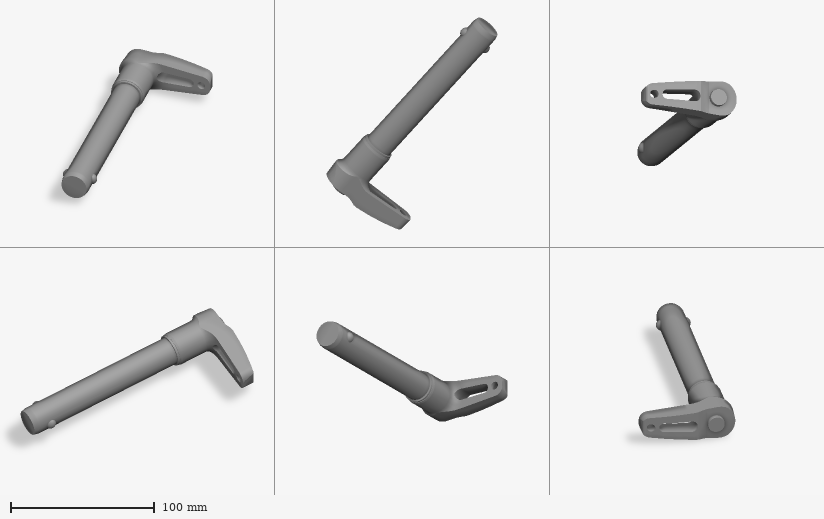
import cadquery as cq
import math

total_length = 160.1

shank_diameter = 20.0
shank_radius = shank_diameter / 2
tip_radius = 9.1
tip_length = 4.2
tip_bulge = 0.2
step_start = 116.9
step_radius = 11.4
neck_start = 118.5
neck_radius = 11.7
collar_start = 120.2
collar_end = 140.1
collar_radius = 12.0
flare_radius = 6.0

ball_radius = 3.8
ball_reach = 12.3
ball_position = 13.5

button_radius = 6.0
button_chamfer = 0.6

head_radius = 12.3
head_offset = -2.5
handle_end = 52.2
end_half_width = 7.2
end_corner_radius = 6.2

head_top = 157.0
flare_top = collar_end + flare_radius
end_bottom = 144.5
rise_start = 6.4
rise_middle = (9.6, 158.0)
hump_start = (12.8, 159.3)
hump_end = (15.7, 159.5)
crown_middle = (32.8, 157.7)
crown_end = (49.0, 154.3)
end_top = (51.0, 153.0)
end_rounding_middle = (50.6, 153.9)

back_radius = 13.5
back_top_shift = 1.0

slot_start = 13.3
slot_end = 40.0
slot_start_radius = 4.2
slot_end_radius = 3.4
hole_position = 45.6
hole_radius = 2.9

head_back = head_offset - head_radius


def along_pin(sketch_plane_offset):
    """Sketch plane square to the pin, with local axes X and Z and its normal along -Y."""
    return cq.Workplane("XZ", origin=(0, sketch_plane_offset, 0))


def tapered_outline(plane, start, start_radius, end, end_radius, height):
    """Solid bounded by two arcs and their common tangent lines, from start to end in X."""
    lean = math.asin((start_radius - end_radius) / (end - start))
    touch_x = math.sin(lean)
    touch_z = math.cos(lean)
    start_touch = (start + start_radius * touch_x, start_radius * touch_z)
    end_touch = (end + end_radius * touch_x, end_radius * touch_z)
    return (
        plane.moveTo(*start_touch)
        .lineTo(*end_touch)
        .threePointArc((end + end_radius, 0), (end_touch[0], -end_touch[1]))
        .lineTo(start_touch[0], -start_touch[1])
        .threePointArc((start - start_radius, 0), start_touch)
        .close()
        .extrude(height)
    )


def make_pin():
    """Shank, stepped collar and the concave flare that meets the handle."""
    flare_outer = collar_radius + flare_radius
    flare_middle = (
        flare_outer - flare_radius * math.cos(math.pi / 4),
        collar_end + flare_radius * math.sin(math.pi / 4),
    )
    tip_middle = ((shank_radius + tip_radius) / 2 + tip_bulge, tip_length / 2)
    return (
        cq.Workplane("XY")
        .lineTo(tip_radius, 0)
        .threePointArc(tip_middle, (shank_radius, tip_length))
        .lineTo(shank_radius, step_start)
        .lineTo(step_radius, step_start)
        .lineTo(step_radius, neck_start)
        .lineTo(neck_radius, neck_start)
        .lineTo(collar_radius, collar_start)
        .lineTo(collar_radius, collar_end)
        .threePointArc(flare_middle, (flare_outer, flare_top))
        .lineTo(0, flare_top)
        .close()
        .revolve(360, (0, 0, 0), (0, 1, 0))
    )


def make_handle_outline():
    """Round head narrowing to a rounded end, extruded through the handle's full depth."""
    side_run = handle_end - head_offset
    corner_distance = math.hypot(side_run, end_half_width)
    touch_angle = math.atan2(end_half_width, side_run) + math.acos(head_radius / corner_distance)
    touch_x = head_offset + head_radius * math.cos(touch_angle)
    touch_z = head_radius * math.sin(touch_angle)
    return (
        along_pin(total_length)
        .moveTo(touch_x, touch_z)
        .lineTo(handle_end, end_half_width)
        .lineTo(handle_end, -end_half_width)
        .lineTo(touch_x, -touch_z)
        .threePointArc((head_back, 0), (touch_x, touch_z))
        .close()
        .extrude(total_length - step_start)
        .edges("|Y and >X")
        .fillet(end_corner_radius)
    )


def make_handle_profile():
    """Side shape of the handle: flat head, raised hump and a gently curved lever."""
    return (
        cq.Workplane("XY")
        .moveTo(head_back, flare_top)
        .lineTo(head_back, head_top)
        .lineTo(rise_start, head_top)
        .threePointArc(rise_middle, hump_start)
        .lineTo(*hump_end)
        .threePointArc(crown_middle, crown_end)
        .threePointArc(end_rounding_middle, end_top)
        .lineTo(handle_end, end_bottom)
        .lineTo(collar_radius + flare_radius, flare_top)
        .close()
        .extrude(head_radius, both=True)
    )


def make_back_trim():
    """Material behind a leaning cylinder, which leaves the sloped round back of the head."""
    block_depth = head_top - flare_top
    lower_center = head_back + back_radius
    back_cylinder = (
        along_pin(flare_top)
        .center(lower_center, 0)
        .circle(back_radius)
        .workplane(offset=-block_depth)
        .center(back_top_shift, 0)
        .circle(back_radius)
        .loft(ruled=True)
    )
    block = cq.Workplane("XY").box(
        2 * head_radius, block_depth, 3 * head_radius, centered=(False, False, True)
    )
    return block.translate((head_offset - 2 * head_radius, flare_top, 0)).cut(back_cylinder)


def make_balls():
    """Two locking balls standing out on opposite sides of the shank."""
    ball_center = ball_reach - ball_radius
    return (
        cq.Workplane("XY")
        .pushPoints([(-ball_center, ball_position), (ball_center, ball_position)])
        .sphere(ball_radius)
    )


def make_button():
    """Release button on the pin axis, rising through the head."""
    return (
        along_pin(total_length)
        .circle(button_radius)
        .extrude(total_length - flare_top)
        .faces(">Y")
        .chamfer(button_chamfer, button_chamfer / 4)
    )


def make_openings():
    """Tapered slot and round hole through the lever."""
    slot = tapered_outline(
        along_pin(total_length),
        slot_start + slot_start_radius,
        slot_start_radius,
        slot_end - slot_end_radius,
        slot_end_radius,
        total_length - collar_end,
    )
    hole = (
        along_pin(total_length)
        .center(hole_position, 0)
        .circle(hole_radius)
        .extrude(total_length - collar_end)
    )
    return slot.union(hole)


outline = make_handle_outline()
pin = make_pin()
shank = pin.intersect(
    along_pin(collar_end).circle(collar_radius).extrude(collar_end)
)
flare = pin.intersect(outline)
handle = outline.intersect(make_handle_profile())

result = (
    handle.union(flare)
    .cut(make_back_trim())
    .cut(make_openings())
    .union(shank)
    .union(make_balls())
    .union(make_button())
)